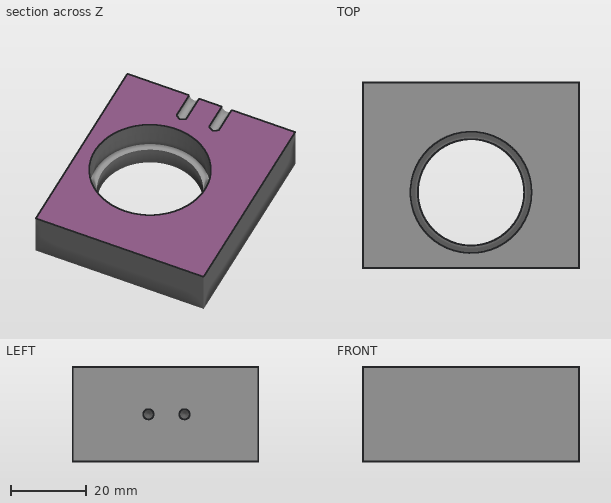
import cadquery as cq
import math

LENGTH_X = 57.0
WIDTH_Y = 49.0
HEIGHT_Z = 25.0

BORE_DIAMETER = 32.0
THROUGH_DIAMETER = 28.0
LEDGE_THICKNESS = 5.0
BORE_FROM_FRONT = 20.0
bore_y = -WIDTH_Y / 2 + BORE_FROM_FRONT

DRILL_DIAMETER = 2.75
DRILL_DEPTH = 8.0
DRILL_POINT_ANGLE = 118.0
DRILL_SPACING = 9.5
FIRST_DRILL_FROM_FRONT = 19.5
drill_positions_y = [-WIDTH_Y / 2 + FIRST_DRILL_FROM_FRONT + i * DRILL_SPACING for i in range(2)]


def make_block():
    return cq.Workplane("XY").box(LENGTH_X, WIDTH_Y, HEIGHT_Z, centered=(True, True, False))


def make_stepped_bore():
    axis = cq.Workplane("XY").center(0, bore_y)
    through = axis.circle(THROUGH_DIAMETER / 2).extrude(HEIGHT_Z)
    wide = (
        axis.workplane(offset=LEDGE_THICKNESS)
        .circle(BORE_DIAMETER / 2)
        .extrude(HEIGHT_Z - LEDGE_THICKNESS)
    )
    return through.union(wide)


def make_drill(y):
    """Drilled hole with a conical bottom, running in +X from the -X face."""
    radius = DRILL_DIAMETER / 2
    point_length = radius / math.tan(math.radians(DRILL_POINT_ANGLE / 2))
    profile = (
        cq.Workplane("XY", origin=(-LENGTH_X / 2, y, HEIGHT_Z / 2))
        .lineTo(0, radius)
        .lineTo(DRILL_DEPTH, radius)
        .lineTo(DRILL_DEPTH + point_length, 0)
        .close()
    )
    return profile.revolve(360, (0, 0, 0), (1, 0, 0))


result = make_block().cut(make_stepped_bore())
for drill_y in drill_positions_y:
    result = result.cut(make_drill(drill_y))